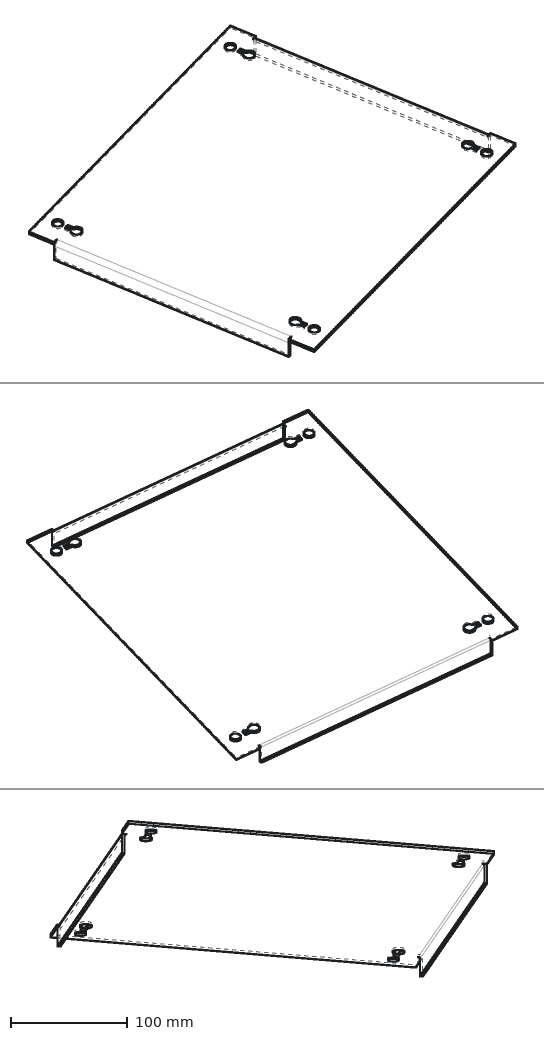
import cadquery as cq

plate_width = 289.5
plate_length = 321.5
total_height = 20.0
thickness = 2.5

flange_width = 238.0
bend_outer_radius = 4.2
bend_inner_radius = bend_outer_radius - thickness

row_pitch = 275.2
hole_pitch = 260.0
hole_diameter = 9.5
keyhole_pitch = 221.8
keyhole_diameter = 10.3
keyhole_slot_width = 4.5
keyhole_slot_reach = 10.3


def make_plate():
    """Flat plate with its top face at Z = 0."""
    return cq.Workplane("XY").box(
        plate_width, plate_length, thickness, centered=(True, True, False)
    ).translate((0, 0, -thickness))


def make_folded_channel():
    """Middle strip of the sheet with both flanges folded down."""
    inner_length = plate_length - 2 * thickness
    outside = (
        cq.Workplane("XY")
        .box(flange_width, plate_length, total_height, centered=(True, True, False))
        .translate((0, 0, -total_height))
        .edges("|X and >Z")
        .fillet(bend_outer_radius)
    )
    inside = (
        cq.Workplane("XY")
        .box(flange_width, inner_length, total_height, centered=(True, True, False))
        .translate((0, 0, -total_height - thickness))
        .edges("|X and >Z")
        .fillet(bend_inner_radius)
    )
    return outside.cut(inside)


def make_hole_cutters():
    """Round holes, and keyholes whose narrow slots point outward along X."""
    rows = [-row_pitch / 2, row_pitch / 2]
    cutters = cq.Workplane("XY").workplane(offset=-total_height)
    holes = (
        cutters.rarray(hole_pitch, row_pitch, 2, 2)
        .circle(hole_diameter / 2)
        .extrude(total_height)
    )
    keyholes = (
        cutters.rarray(keyhole_pitch, row_pitch, 2, 2)
        .circle(keyhole_diameter / 2)
        .extrude(total_height)
    )
    slot_centre = (keyhole_pitch + keyhole_slot_reach) / 2
    slots = (
        cutters.pushPoints([(side * slot_centre, y) for side in (-1, 1) for y in rows])
        .rect(keyhole_slot_reach, keyhole_slot_width)
        .extrude(total_height)
    )
    return holes.union(keyholes).union(slots)


bend_clearance = cq.Workplane("XY").box(flange_width, plate_length, 2 * total_height).cut(
    cq.Workplane("XY").box(
        flange_width, plate_length - 2 * bend_outer_radius, 2 * total_height
    )
)

result = (
    make_plate()
    .cut(bend_clearance)
    .union(make_folded_channel())
    .cut(make_hole_cutters())
)